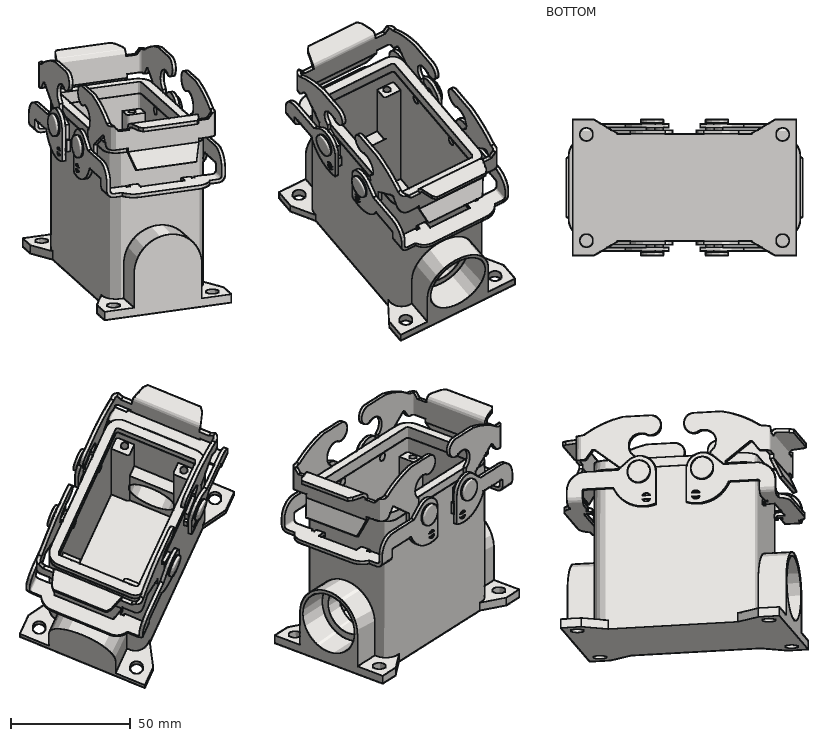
import cadquery as cq
import math

body_half_x = 34.9
body_half_y = 22.4
body_corner_radius = 6.0
housing_height = 73.0
collar_height = 4.0
collar_setback = 0.1
rebate_depth = 5.2
cavity_half_x = 30.6
cavity_half_y = 18.1
cavity_corner_radius = 1.0
floor_thickness = 4.0

flange_half_x = 46.8
flange_half_y = 28.5
flange_thickness = 3.8
ear_outer_x = 37.9
ear_root_x = 27.7
mount_hole_x = 41.0
mount_hole_y = 22.2
mount_hole_diameter = 5.5

gland_radius = 15.2
gland_axis_z = 19.2
gland_bore_radius = 13.6
gland_bore_end_x = 33.5
entry_bore_radius = 10.5

post_top_z = 61.0
post_inner_x = 25.1
post_inner_y = 10.0
post_corner_radius = 1.0
post_hole_x = 28.5
post_hole_y = 13.5
post_hole_diameter = 3.1
post_hole_depth = 15.0
pad_top_z = gland_axis_z + gland_radius
entry_pad_inner_x = 25.8

sheet = 1.6
rivet_x = 13.55
rivet_z = 66.0
rivet_pin_radius = 1.75
rivet_shank_radius = 2.5
rivet_shoulder_radius = 4.4
rivet_head_radius = 4.8
rivet_head_thickness = 1.4
rivet_head_rounding = 0.5
rivet_end_y = flange_half_y

hook_inner_y = body_half_y
hook_outer_y = hook_inner_y + sheet
hook_wall_x = 41.6
hook_bend_radius = 2.6
hook_bottom_z = 73.3
hook_wall_top_z = 83.8
hook_top_z = 91.0
nose_radius = 4.3
nose_x = 9.25
notch_radius = 5.3
notch_x = 13.4
notch_z = 78.2
notch_middle_angle = 142
notch_end_angle = 212
back_start = (-37.7, 84.1)
back_middle = (-30.0, 88.3)
back_end_x = 21.1
neck_x = 16.35
neck_top_z = 73.8
neck_bottom_z = 70.5
hook_foot_x = 22.75
hook_foot_top_z = 69.3
hook_foot_radius = hook_foot_x - rivet_x
hook_foot_bottom_z = 55.4
foot_inner_x = 9.2
foot_shoulder_z = 67.0
foot_lug_x = 8.0
foot_lug_top_z = 60.5
vee_inner = (-33.0, 77.2)
vee_tip = (-33.7, 77.5)
vee_outer = (-34.4, 77.1)
heel_start = (-36.6, 74.2)
heel_middle = (-37.3, 73.5)
heel_end_x = 38.4

lip_half_x = 49.485
lip_top_z = 84.6
lip_bend_radius = 1.6
lip_root_half_y = 15.4
lip_shoulder_half_y = 13.5
lip_shoulder_x = 47.8
lip_tip_half_y = 12.1
wall_dip_z = lip_top_z - sheet - lip_bend_radius
wall_dip_half_y = 20.0
wall_dip_slope_width = 2.0

flap_bend_z = 71.7
flap_tip_x = 45.1
flap_tip_z = 64.5
flap_root_half_y = 15.9
flap_tip_half_y = 13.2

handle_outer_y = 26.6
handle_inner_y = handle_outer_y - sheet
handle_top_radius = 7.0
handle_disc_x = 11.5
handle_disc_z = 65.7
handle_disc_radius = 14.5
handle_top_tangent = 130
handle_top_middle = 65
handle_disc_middle = 245
handle_end_x = rivet_x - handle_top_radius
arm_outer_x = 44.6
arm_inner_x = 37.85
arm_top_z = 67.3
arm_bottom_z = 59.9
arm_neck_x = 22.75
arm_outer_radius = 7.8
arm_inner_radius = 0.8
plate_bottom_z = 53.5
handle_bend_radius = 3.1
plate_front_x = 48.45
plate_shoulder_y = 19.7
plate_front_y = 13.3
plate_curve_x = 47.2
plate_curve_y = 17.4
plate_notch_x = 40.8
plate_notch_half_y = 9.95
tab_outer_y = 13.8
tab_end_x = 36.2
tab_drop = 0.7
tab_curl_radius = 1.4
tab_relief_width = 1.5
tab_relief_depth = 0.85

stop_x = 10.6
stop_z = 55.0
stop_radius = 1.8
stop_recess = 0.8
stop_bar_height = 1.6


def block(x_range, y_range, z_range):
    """Box between pairs of coordinates."""
    size = [high - low for low, high in (x_range, y_range, z_range)]
    corner = (x_range[0], y_range[0], z_range[0])
    return cq.Workplane("XY").box(*size, centered=False).translate(corner)


def rounded_block(half_x, half_y, radius, z_low, z_high):
    """Upright block, centred on Z, with rounded vertical corners."""
    blank = block((-half_x, half_x), (-half_y, half_y), (z_low, z_high))
    return blank.edges("|Z").fillet(radius)


def disc_y(x, z, radius, y_low, y_high):
    """Cylinder along Y."""
    base = cq.Workplane("XZ", origin=(x, y_low, z))
    return base.circle(radius).extrude(-(y_high - y_low))


def disc_x(radius, x_low, x_high):
    """Cylinder along X on the cable gland axis."""
    return cq.Workplane("YZ", origin=(x_low, 0, gland_axis_z)).circle(radius).extrude(x_high - x_low)


def both_sides(half):
    """A +Y half feature together with its mirror image on the -Y side."""
    return half.union(half.mirror("XZ"))


def make_shell():
    collar_z = housing_height - collar_height
    body = rounded_block(body_half_x, body_half_y, body_corner_radius, 0, collar_z)
    collar = rounded_block(
        body_half_x - collar_setback,
        body_half_y - collar_setback,
        body_corner_radius - collar_setback,
        collar_z,
        housing_height,
    )
    return body.union(collar)


def make_flange():
    outline = [
        (flange_half_x, -flange_half_y),
        (flange_half_x, flange_half_y),
        (ear_outer_x, flange_half_y),
        (ear_root_x, body_half_y),
        (ear_root_x, -body_half_y),
        (ear_outer_x, -flange_half_y),
    ]
    flange = cq.Workplane("XY").polyline(outline).close().extrude(flange_thickness)
    holes = [(mount_hole_x, -mount_hole_y), (mount_hole_x, mount_hole_y)]
    drills = cq.Workplane("XY").pushPoints(holes).circle(mount_hole_diameter / 2).extrude(flange_thickness)
    return flange.cut(drills)


def make_gland():
    barrel = disc_x(gland_radius, cavity_half_x, flange_half_x)
    support = block((cavity_half_x, flange_half_x), (-gland_radius, gland_radius), (0, gland_axis_z))
    return barrel.union(support)


def make_cavity():
    rebate_z = housing_height - rebate_depth
    lower = rounded_block(cavity_half_x, cavity_half_y, cavity_corner_radius, floor_thickness, rebate_z)
    upper = rounded_block(
        cavity_half_x + collar_setback,
        cavity_half_y + collar_setback,
        cavity_corner_radius + collar_setback,
        rebate_z,
        housing_height,
    )
    return lower.union(upper)


def make_post():
    """Screw post in the +X +Y corner of the cavity; it runs into both walls."""
    post = block(
        (post_inner_x, cavity_half_x + post_corner_radius),
        (post_inner_y, cavity_half_y + post_corner_radius),
        (floor_thickness, post_top_z),
    )
    post = post.edges("|Z and <X and <Y").fillet(post_corner_radius)
    hole = cq.Workplane("XY", origin=(post_hole_x, post_hole_y, post_top_z))
    return post.cut(hole.circle(post_hole_diameter / 2).extrude(-post_hole_depth))


def make_pad(inner_x):
    """Thickened end wall between two screw posts, +X side."""
    width = (-post_inner_y - post_corner_radius, post_inner_y + post_corner_radius)
    return block((inner_x, cavity_half_x), width, (floor_thickness, pad_top_z))


def make_housing():
    end = make_flange().union(make_gland())
    housing = make_shell().union(end).union(end.mirror("YZ")).cut(make_cavity())
    post_pair = both_sides(make_post())
    housing = housing.union(make_pad(post_inner_x)).union(make_pad(entry_pad_inner_x).mirror("YZ"))
    housing = housing.union(post_pair).union(post_pair.mirror("YZ"))
    housing = housing.cut(disc_x(gland_bore_radius, -flange_half_x, -gland_bore_end_x))
    housing = housing.cut(disc_x(entry_bore_radius, -gland_bore_end_x, -entry_pad_inner_x))
    for x in (-rivet_x, rivet_x):
        housing = housing.cut(disc_y(x, rivet_z, rivet_pin_radius, -body_half_y, body_half_y))
    return housing


def make_hook_plate():
    """Flat side of the inner stirrup, +Y half, with hook, notch and foot."""
    nose_z = hook_top_z - nose_radius
    across = math.hypot(nose_x - notch_x, nose_z - notch_z)
    toward_notch = ((nose_x - notch_x) / across, (notch_z - nose_z) / across)
    nose_end = (-nose_x + nose_radius * toward_notch[0], nose_z + nose_radius * toward_notch[1])
    notch_start = (-notch_x - notch_radius * toward_notch[0], notch_z - notch_radius * toward_notch[1])
    end_angle = math.radians(notch_end_angle)
    mid_angle = math.radians(notch_middle_angle)
    notch_end = (-notch_x + notch_radius * math.cos(end_angle), notch_z + notch_radius * math.sin(end_angle))
    notch_mid = (-notch_x + notch_radius * math.cos(mid_angle), notch_z + notch_radius * math.sin(mid_angle))
    foot_diagonal = hook_foot_radius * (1 - math.sqrt(0.5))
    return (
        cq.Workplane("XZ", origin=(0, hook_inner_y, 0))
        .moveTo(-hook_wall_x + hook_bend_radius, hook_wall_top_z)
        .lineTo(*back_start)
        .threePointArc(back_middle, (-back_end_x, hook_top_z))
        .lineTo(-nose_x, hook_top_z)
        .threePointArc((-nose_x + nose_radius, nose_z), nose_end)
        .lineTo(*notch_start)
        .threePointArc(notch_mid, notch_end)
        .lineTo(-neck_x, neck_top_z)
        .lineTo(-neck_x, neck_bottom_z)
        .lineTo(-foot_inner_x, foot_shoulder_z)
        .lineTo(-foot_inner_x, foot_lug_top_z)
        .lineTo(-foot_lug_x, foot_lug_top_z)
        .lineTo(-foot_lug_x, hook_foot_bottom_z)
        .lineTo(-hook_foot_x + hook_foot_radius, hook_foot_bottom_z)
        .threePointArc(
            (-hook_foot_x + foot_diagonal, hook_foot_bottom_z + foot_diagonal),
            (-hook_foot_x, hook_foot_bottom_z + hook_foot_radius),
        )
        .lineTo(-hook_foot_x, hook_foot_top_z)
        .lineTo(*vee_inner)
        .threePointArc(vee_tip, vee_outer)
        .lineTo(*heel_start)
        .threePointArc(heel_middle, (-heel_end_x, hook_bottom_z))
        .lineTo(-hook_wall_x + hook_bend_radius, hook_bottom_z)
        .close()
        .extrude(-sheet)
    )


def make_hook_wall():
    """Wall joining the hooks: bent corners at both ends and a dipped top edge."""
    straight_x = -hook_wall_x + hook_bend_radius
    z_range = (hook_bottom_z, hook_wall_top_z)
    outer = block((-hook_wall_x, straight_x + hook_bend_radius), (-hook_outer_y, hook_outer_y), z_range)
    outer = outer.edges("|Z and <X").fillet(hook_bend_radius)
    inner = block((-hook_wall_x + sheet, 0), (-hook_inner_y, hook_inner_y), z_range)
    inner = inner.edges("|Z and <X").fillet(hook_bend_radius - sheet)
    bend_trim = block((straight_x, 0), (-hook_outer_y, hook_outer_y), z_range)
    wall = outer.cut(inner).cut(bend_trim)
    dip = [
        (-wall_dip_half_y, wall_dip_z),
        (wall_dip_half_y, wall_dip_z),
        (wall_dip_half_y + wall_dip_slope_width, hook_wall_top_z),
        (-wall_dip_half_y - wall_dip_slope_width, hook_wall_top_z),
    ]
    dip_tool = cq.Workplane("YZ", origin=(-hook_wall_x, 0, 0)).polyline(dip).close().extrude(hook_bend_radius)
    return wall.cut(dip_tool)


def make_lip():
    """Thumb lip bent outward from the top of the hook wall."""
    bend_x = -hook_wall_x - lip_bend_radius
    bend_z = wall_dip_z
    outer_radius = lip_bend_radius + sheet
    diagonal = math.sqrt(0.5)
    profile = (
        cq.Workplane("XZ", origin=(0, -lip_root_half_y, 0))
        .moveTo(-lip_half_x, lip_top_z)
        .lineTo(bend_x, lip_top_z)
        .threePointArc(
            (bend_x + outer_radius * diagonal, bend_z + outer_radius * diagonal),
            (bend_x + outer_radius, bend_z),
        )
        .lineTo(-hook_wall_x, bend_z)
        .threePointArc(
            (bend_x + lip_bend_radius * diagonal, bend_z + lip_bend_radius * diagonal),
            (bend_x, lip_top_z - sheet),
        )
        .lineTo(-lip_half_x, lip_top_z - sheet)
        .close()
        .extrude(-2 * lip_root_half_y)
    )
    upper = [
        (-hook_wall_x + sheet, lip_root_half_y),
        (-hook_wall_x, lip_root_half_y),
        (-lip_shoulder_x, lip_shoulder_half_y),
        (-lip_half_x, lip_tip_half_y),
    ]
    lower = [(x, -y) for x, y in reversed(upper)]
    outline = cq.Workplane("XY").polyline(upper + lower).close().extrude(hook_top_z)
    return profile.intersect(outline)


def make_flap():
    """Tongue bent down and outward from the bottom of the hook wall."""
    slope = math.atan2(flap_tip_x - hook_wall_x, flap_bend_z - flap_tip_z)
    offset_x = sheet * math.cos(slope)
    offset_z = sheet * math.sin(slope)
    side = [
        (-hook_wall_x, hook_bottom_z),
        (-hook_wall_x, flap_bend_z),
        (-flap_tip_x, flap_tip_z),
        (-flap_tip_x + offset_x, flap_tip_z - offset_z),
        (-hook_wall_x + sheet, flap_bend_z),
        (-hook_wall_x + sheet, hook_bottom_z),
    ]
    sheet_profile = cq.Workplane("XZ", origin=(0, -flap_root_half_y, 0)).polyline(side).close()
    flap = sheet_profile.extrude(-2 * flap_root_half_y)
    tip_z = flap_tip_z - offset_z
    upper = [
        (flap_root_half_y, hook_bottom_z),
        (flap_root_half_y, flap_bend_z),
        (flap_tip_half_y, tip_z),
    ]
    lower = [(-y, z) for y, z in reversed(upper)]
    face = cq.Workplane("YZ", origin=(-flap_tip_x, 0, 0)).polyline(upper + lower).close()
    return flap.intersect(face.extrude(flap_tip_x))


def make_handle_side():
    """Flat side of the outer handle, +Y half: rivet disc, arm and leg."""
    tangent = math.radians(handle_top_tangent)
    disc_drop = math.sqrt(handle_disc_radius ** 2 - (handle_disc_x - handle_end_x) ** 2)
    neck_rise = handle_disc_z - arm_bottom_z
    neck_reach = math.sqrt(handle_disc_radius ** 2 - neck_rise ** 2)
    disc_mid = math.radians(handle_disc_middle)
    top_mid = math.radians(handle_top_middle)
    outer_diagonal = arm_outer_radius * (1 - math.sqrt(0.5))
    inner_diagonal = arm_inner_radius * (1 - math.sqrt(0.5))
    leg_bottom_z = plate_bottom_z + handle_bend_radius
    return (
        cq.Workplane("XZ", origin=(0, handle_inner_y, 0))
        .moveTo(-arm_neck_x, arm_top_z)
        .lineTo(
            -rivet_x + handle_top_radius * math.cos(tangent),
            rivet_z + handle_top_radius * math.sin(tangent),
        )
        .threePointArc(
            (
                -rivet_x + handle_top_radius * math.cos(top_mid),
                rivet_z + handle_top_radius * math.sin(top_mid),
            ),
            (-handle_end_x, rivet_z),
        )
        .lineTo(-handle_end_x, handle_disc_z - disc_drop)
        .threePointArc(
            (
                -handle_disc_x + handle_disc_radius * math.cos(disc_mid),
                handle_disc_z + handle_disc_radius * math.sin(disc_mid),
            ),
            (-handle_disc_x - neck_reach, arm_bottom_z),
        )
        .lineTo(-arm_inner_x + arm_inner_radius, arm_bottom_z)
        .threePointArc(
            (-arm_inner_x + inner_diagonal, arm_bottom_z - inner_diagonal),
            (-arm_inner_x, arm_bottom_z - arm_inner_radius),
        )
        .lineTo(-arm_inner_x, leg_bottom_z)
        .lineTo(-arm_outer_x, leg_bottom_z)
        .lineTo(-arm_outer_x, arm_top_z - arm_outer_radius)
        .threePointArc(
            (-arm_outer_x + outer_diagonal, arm_top_z - outer_diagonal),
            (-arm_outer_x + arm_outer_radius, arm_top_z),
        )
        .close()
        .extrude(-sheet)
    )


def make_handle_plate():
    """Grip plate joining the two legs, with bent ends, inner notch and curled tabs."""
    z_range = (plate_bottom_z, arm_bottom_z - arm_inner_radius)
    channel = block((-arm_outer_x, -arm_inner_x), (-handle_outer_y, handle_outer_y), z_range)
    channel = channel.edges("|X and <Z").fillet(handle_bend_radius)
    hollow_half_y = handle_outer_y - sheet
    hollow_z = (plate_bottom_z + sheet, z_range[1] + handle_bend_radius)
    hollow = block((-arm_outer_x, -arm_inner_x), (-hollow_half_y, hollow_half_y), hollow_z)
    hollow = hollow.edges("|X and <Z").fillet(handle_bend_radius - sheet)
    plate = channel.cut(hollow)

    grip = (
        cq.Workplane("XY", origin=(0, 0, plate_bottom_z))
        .moveTo(-arm_outer_x, -plate_shoulder_y)
        .threePointArc((-plate_curve_x, -plate_curve_y), (-plate_front_x, -plate_front_y))
        .lineTo(-plate_front_x, plate_front_y)
        .threePointArc((-plate_curve_x, plate_curve_y), (-arm_outer_x, plate_shoulder_y))
        .close()
        .extrude(sheet)
    )
    notch_range = (-plate_notch_half_y, plate_notch_half_y)
    notch = block((-plate_notch_x, -arm_inner_x), notch_range, z_range)
    relief = block(
        (-arm_inner_x - tab_relief_depth, -arm_inner_x),
        (tab_outer_y, tab_outer_y + tab_relief_width),
        z_range,
    )
    tab_top_z = plate_bottom_z + sheet
    tab = block(
        (-arm_inner_x, -tab_end_x),
        (plate_notch_half_y, tab_outer_y),
        (plate_bottom_z - tab_drop, tab_top_z),
    )
    tab = tab.edges("|Y and >X and >Z").fillet(tab_curl_radius)
    tab_hollow_z = (plate_bottom_z - tab_drop, plate_bottom_z)
    tab_hollow = block((-arm_inner_x, -tab_end_x - sheet / 2), (0, tab_outer_y), tab_hollow_z)
    tab = tab.cut(tab_hollow)
    return plate.union(grip).cut(notch).cut(both_sides(relief)).union(both_sides(tab))


def make_rivet():
    """Rivet on the +Y side: wall pin, shank, shoulder and rounded head."""
    head_y = rivet_end_y - rivet_head_thickness
    pin = disc_y(-rivet_x, rivet_z, rivet_pin_radius, cavity_half_y, hook_outer_y)
    shank = disc_y(-rivet_x, rivet_z, rivet_shank_radius, hook_inner_y, handle_outer_y)
    shoulder = disc_y(-rivet_x, rivet_z, rivet_shoulder_radius, handle_outer_y, head_y)
    head = disc_y(-rivet_x, rivet_z, rivet_head_radius, head_y, rivet_end_y)
    head = head.faces(">Y").fillet(rivet_head_rounding)
    return pin.union(shank).union(shoulder).union(head)


def make_stop_recess():
    """Round recess in the handle over the stop stud, crossed by a flat bar."""
    recess_y = handle_outer_y - stop_recess
    recess = disc_y(-stop_x, stop_z, stop_radius, recess_y, handle_outer_y)
    bar = block(
        (-stop_x - stop_radius, -stop_x + stop_radius),
        (recess_y, handle_outer_y),
        (stop_z - stop_bar_height / 2, stop_z + stop_bar_height / 2),
    )
    return recess.cut(bar)


def make_lever():
    stud = disc_y(-stop_x, stop_z, stop_radius, hook_outer_y, handle_inner_y)
    side = make_hook_plate().union(make_handle_side()).union(make_rivet()).union(stud)
    side = side.cut(make_stop_recess())
    hook_bridge = make_hook_wall().union(make_lip()).union(make_flap())
    return both_sides(side).union(hook_bridge).union(make_handle_plate())


housing = make_housing()
levers = []
for turn in (0, 180):
    levers.append(make_lever().rotate((0, 0, 0), (0, 0, 1), turn))

result = cq.Compound.makeCompound([housing.solids().val(), *[lever.solids().val() for lever in levers]])